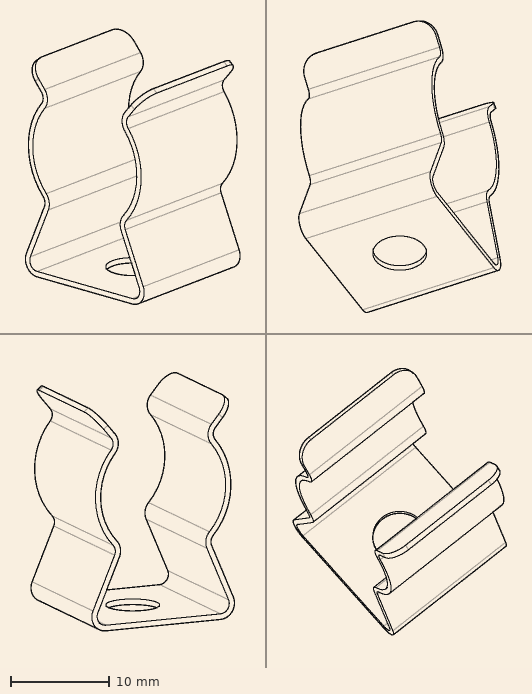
import cadquery as cq
import math

HEIGHT = 23.0
BASE_WIDTH = 15.98
STRIP_WIDTH = 15.0
THICKNESS = 0.6
HOLE_DIAMETER = 5.5
LIP_CORNER_RADIUS = 2.0
LIP_ANGLE = 40.0

INNER_BEND_RADIUS = 1.0
BASE_BEND_RADIUS = INNER_BEND_RADIUS + THICKNESS
GRIP_RADIUS = 7.0 + THICKNESS
GRIP_HEIGHT = 13.98
NECK_GAP = 9.52
MOUTH_GAP = 10.03

base_x = BASE_WIDTH / 2 - BASE_BEND_RADIUS
base_z = BASE_BEND_RADIUS
neck_x = NECK_GAP / 2 + THICKNESS + INNER_BEND_RADIUS
mouth_x = MOUTH_GAP / 2 + THICKNESS + INNER_BEND_RADIUS

center_distance = GRIP_RADIUS + INNER_BEND_RADIUS
neck_angle = math.acos(neck_x / center_distance)
mouth_angle = math.acos(mouth_x / center_distance)
neck_z = GRIP_HEIGHT - center_distance * math.sin(neck_angle)
mouth_z = GRIP_HEIGHT + center_distance * math.sin(mouth_angle)

leg_run = neck_x - base_x
leg_rise = neck_z - base_z
leg_angle = (
    math.asin((BASE_BEND_RADIUS + INNER_BEND_RADIUS) / math.hypot(leg_run, leg_rise))
    - math.atan2(leg_run, leg_rise)
)
lip_angle = math.radians(LIP_ANGLE)

lip_start_z = mouth_z + (INNER_BEND_RADIUS + THICKNESS) * math.sin(lip_angle)
lip_length = (HEIGHT - lip_start_z) / math.cos(lip_angle)


def polar(x, z, radius, angle):
    return (x + radius * math.cos(angle), z + radius * math.sin(angle))


def side_face(depth):
    """Arcs of one +X strip face, base to mouth, at a depth below the outer face."""
    bend = INNER_BEND_RADIUS + depth
    arcs = [
        (base_x, base_z, BASE_BEND_RADIUS - depth, -math.pi / 2, leg_angle),
        (neck_x, neck_z, bend, math.pi + leg_angle, math.pi - neck_angle),
        (0, GRIP_HEIGHT, GRIP_RADIUS - depth, -neck_angle, mouth_angle),
        (mouth_x, mouth_z, bend, math.pi + mouth_angle, math.pi - lip_angle),
    ]
    return [
        [polar(x, z, radius, angle) for angle in (start, (start + end) / 2, end)]
        for x, z, radius, start, end in arcs
    ]


def lip_tip(face):
    x, z = face[-1][-1]
    return (x + lip_length * math.sin(lip_angle), z + lip_length * math.cos(lip_angle))


def half_clip():
    outer = side_face(0)
    inner = side_face(THICKNESS)
    base, neck, grip, mouth = range(4)
    profile = cq.Workplane("XZ").moveTo(0, 0).lineTo(*outer[base][0])
    profile = profile.threePointArc(*outer[base][1:]).lineTo(*outer[neck][0])
    for bend in (neck, grip, mouth):
        profile = profile.threePointArc(*outer[bend][1:])
    profile = profile.lineTo(*lip_tip(outer)).lineTo(*lip_tip(inner)).lineTo(*inner[mouth][2])
    for bend in (mouth, grip, neck):
        profile = profile.threePointArc(inner[bend][1], inner[bend][0])
    profile = profile.lineTo(*inner[base][2]).threePointArc(inner[base][1], inner[base][0])
    strip = profile.lineTo(0, THICKNESS).close().extrude(STRIP_WIDTH / 2, both=True)

    tip_x = (lip_tip(outer)[0] + lip_tip(inner)[0]) / 2
    tip_z = (lip_tip(outer)[1] + lip_tip(inner)[1]) / 2
    for y in (-STRIP_WIDTH / 2, STRIP_WIDTH / 2):
        corner = cq.selectors.NearestToPointSelector((tip_x, y, tip_z))
        strip = strip.edges(corner).fillet(LIP_CORNER_RADIUS)
    return strip


right_half = half_clip()
clip = right_half.union(right_half.mirror("YZ")).clean()
hole = cq.Workplane("XY").circle(HOLE_DIAMETER / 2).extrude(THICKNESS)
result = clip.cut(hole)